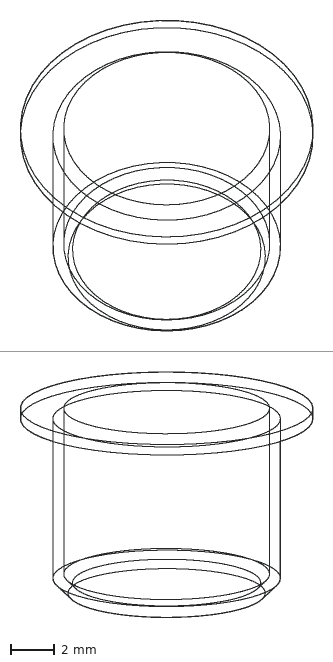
import cadquery as cq
import math

flange_diameter = 13.5
body_diameter = 10.5
height = 8.8
wall = 0.5
outer_chamfer = 0.7

bore_diameter = body_diameter - 2 * wall
inner_chamfer = outer_chamfer - wall * (2 - math.sqrt(2))


def chamfered_cylinder(diameter, length, chamfer, base_z):
    """Upright cylinder with a chamfered bottom edge."""
    cylinder = cq.Workplane("XY").workplane(offset=base_z).circle(diameter / 2).extrude(length)
    return cylinder.faces("<Z").edges().chamfer(chamfer)


body = chamfered_cylinder(body_diameter, height, outer_chamfer, 0)
flange = cq.Workplane("XY").workplane(offset=height - wall).circle(flange_diameter / 2).extrude(wall)
cavity = chamfered_cylinder(bore_diameter, height - wall, inner_chamfer, wall)

result = body.union(flange).cut(cavity)